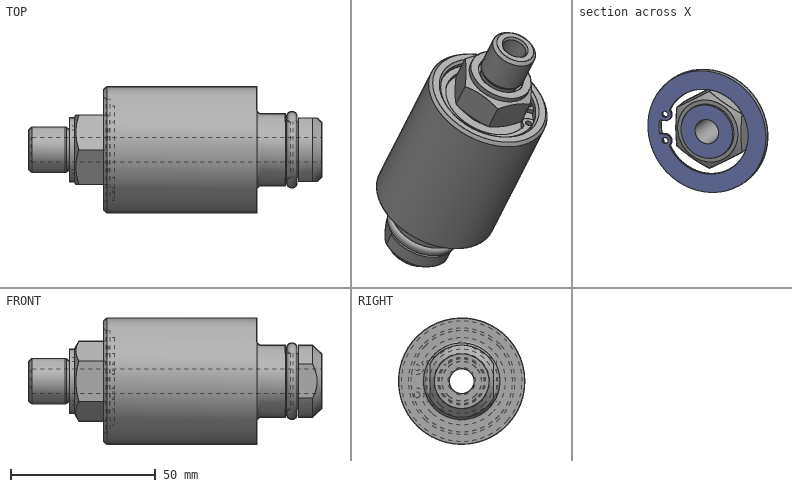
import cadquery as cq
import math


THREAD_DIA = 15.8
THREAD_TIP_CHAMFER = 1.1
THREAD_END = 12.6
RUNOUT_EDGE = 13.2
RUNOUT_EDGE_DIA = 15.4
NECK_DIA = 13.8

COLLAR_START = 14.1
COLLAR_DIA = 22.2
COLLAR_BORE_DIA = 16.5

HEX_START = 15.8
HEX_END = 28.0
HEX_ACROSS_FLATS = 24.0
HEX_CHAMFER_ANGLE = 30.0
SHANK_DIA = 19.3

BODY_START = 25.9
BODY_END = 78.9
BODY_DIA = 43.7
BODY_CHAMFER_LENGTH = 1.2
BODY_CHAMFER_DEPTH = 1.0

RECESS_DIA = 35.1
RECESS_MOUTH_DIA = 36.8
RECESS_MOUTH_LENGTH = 0.9
RECESS_DEPTH = 3.9
RING_BORE_DIA = 30.2
RING_THICKNESS = 1.5
RING_GAP = 4.8
LUG_DIA = 4.7
LUG_HOLE_DIA = 2.0
LUG_CENTRE_RADIUS = 16.1

REAR_DIA = 24.9
ROOT_FILLET = 1.5
GROOVE_START = 88.7
GROOVE_END = 93.3
GROOVE_DIA = 19.3
ORING_DIA = 26.5
ORING_SECTION_DIA = 3.7
TAPER_START = 98.1
TIP_DIA = 18.9
TIP_ACROSS_FLATS = 22.0
LENGTH = 101.4

BORE_DIA = 8.5
BORE_CHAMFER_DEPTH = 0.5
BORE_CHAMFER_LENGTH = 0.9


def cylinder(start, end, dia):
    """Solid cylinder on the X axis between two stations."""
    return cq.Workplane("YZ", origin=(start, 0, 0)).circle(dia / 2).extrude(end - start)


def cone(start, end, start_dia, end_dia):
    """Solid truncated cone on the X axis between two stations."""
    profile = [(start, 0), (start, start_dia / 2), (end, end_dia / 2), (end, 0)]
    return cq.Workplane("XY").polyline(profile).close().revolve(360, (0, 0, 0), (1, 0, 0))


def front_spigot():
    """Chamfered thread cylinder, its run-out, the neck and the hollow collar."""
    tip_dia = THREAD_DIA - 2 * THREAD_TIP_CHAMFER
    thread = cone(0, THREAD_TIP_CHAMFER, tip_dia, THREAD_DIA)
    thread = thread.union(cylinder(THREAD_TIP_CHAMFER, THREAD_END, THREAD_DIA))
    thread = thread.union(cone(THREAD_END, RUNOUT_EDGE, THREAD_DIA, RUNOUT_EDGE_DIA))
    thread = thread.union(cone(RUNOUT_EDGE, COLLAR_START, RUNOUT_EDGE_DIA, NECK_DIA))
    neck = cylinder(COLLAR_START, HEX_START, NECK_DIA)
    collar = cylinder(COLLAR_START, HEX_START, COLLAR_DIA)
    collar = collar.cut(cylinder(COLLAR_START, HEX_START, COLLAR_BORE_DIA))
    return thread.union(neck).union(collar)


def hexagon():
    """Hexagon with corners up and down, both ends turned off conically, on a round shank."""
    corner_dia = HEX_ACROSS_FLATS / math.cos(math.pi / 6)
    prism = (
        cq.Workplane("YZ", origin=(HEX_START, 0, 0))
        .transformed(rotate=(0, 0, 90))
        .polygon(6, corner_dia)
        .extrude(HEX_END - HEX_START)
    )
    run = (corner_dia - COLLAR_DIA) / 2 * math.tan(math.radians(HEX_CHAMFER_ANGLE))
    envelope = cone(HEX_START, HEX_START + run, COLLAR_DIA, corner_dia)
    envelope = envelope.union(cylinder(HEX_START + run, HEX_END - run, corner_dia))
    envelope = envelope.union(cone(HEX_END - run, HEX_END, corner_dia, COLLAR_DIA))
    shank = cylinder(HEX_END, BODY_START + RECESS_DEPTH, SHANK_DIA)
    return prism.intersect(envelope).union(shank)


def body():
    """Main cylinder with a chamfered front edge and a recess in its front face."""
    face_dia = BODY_DIA - 2 * BODY_CHAMFER_DEPTH
    chamfer_end = BODY_START + BODY_CHAMFER_LENGTH
    mouth_end = BODY_START + RECESS_MOUTH_LENGTH
    shell = cone(BODY_START, chamfer_end, face_dia, BODY_DIA)
    shell = shell.union(cylinder(chamfer_end, BODY_END, BODY_DIA))
    shell = shell.cut(cylinder(BODY_START, BODY_START + RECESS_DEPTH, RECESS_DIA))
    return shell.cut(cone(BODY_START, mouth_end, RECESS_MOUTH_DIA, RECESS_DIA))


def retaining_ring():
    """Open ring on the recess floor, with a drilled lug on each side of its gap at -Y."""
    start = BODY_START + RECESS_DEPTH - RING_THICKNESS
    end = start + RING_THICKNESS
    disc = cylinder(start, end, RECESS_DIA)
    ring = disc.cut(cylinder(start, end, RING_BORE_DIA))

    lug_z = (RING_GAP + LUG_DIA) / 2
    lug_y = -math.sqrt(LUG_CENTRE_RADIUS**2 - lug_z**2)
    lug_centres = [(lug_y, lug_z), (lug_y, -lug_z)]
    plane = cq.Workplane("YZ", origin=(start, 0, 0))
    lugs = plane.pushPoints(lug_centres).circle(LUG_DIA / 2).extrude(RING_THICKNESS)
    root_length = RECESS_DIA / 2 + lug_y
    root_centres = [(lug_y - root_length / 2, z) for _, z in lug_centres]
    roots = plane.pushPoints(root_centres).rect(root_length, LUG_DIA).extrude(RING_THICKNESS)
    gap = (
        cq.Workplane("YZ", origin=(start, -RECESS_DIA / 2, 0))
        .rect(RECESS_DIA / 2, RING_GAP)
        .extrude(RING_THICKNESS)
    )
    holes = plane.pushPoints(lug_centres).circle(LUG_HOLE_DIA / 2).extrude(RING_THICKNESS)
    return ring.union(lugs.union(roots).intersect(disc)).cut(gap).cut(holes)


def rear_spigot():
    """Rear cylinder with a root fillet, O-ring groove and O-ring, flats and a tapered tip."""
    rear_radius = REAR_DIA / 2
    oring_centre_radius = (ORING_DIA - ORING_SECTION_DIA) / 2
    arc_reach = ROOT_FILLET * (1 - math.sqrt(0.5))
    fillet = (
        cq.Workplane("XY")
        .moveTo(BODY_END, 0)
        .lineTo(BODY_END, rear_radius + ROOT_FILLET)
        .threePointArc(
            (BODY_END + arc_reach, rear_radius + arc_reach),
            (BODY_END + ROOT_FILLET, rear_radius),
        )
        .lineTo(BODY_END + ROOT_FILLET, 0)
        .close()
        .revolve(360, (0, 0, 0), (1, 0, 0))
    )
    shank = cylinder(BODY_END, GROOVE_START, REAR_DIA).union(fillet)
    groove_floor = cylinder(GROOVE_START, GROOVE_END, GROOVE_DIA)
    oring = (
        cq.Workplane("XY")
        .center((GROOVE_START + GROOVE_END) / 2, oring_centre_radius)
        .circle(ORING_SECTION_DIA / 2)
        .revolve(360, (0, -oring_centre_radius, 0), (1, -oring_centre_radius, 0))
    )
    tip = cylinder(GROOVE_END, TAPER_START, REAR_DIA)
    tip = tip.union(cone(TAPER_START, LENGTH, REAR_DIA, TIP_DIA))
    flats = (
        cq.Workplane("YZ", origin=(GROOVE_END, 0, 0))
        .rect(TIP_ACROSS_FLATS, REAR_DIA)
        .extrude(LENGTH - GROOVE_END)
    )
    return shank.union(groove_floor).union(oring).union(tip.intersect(flats))


bore = cylinder(0, LENGTH, BORE_DIA).union(
    cone(0, BORE_CHAMFER_LENGTH, BORE_DIA + 2 * BORE_CHAMFER_DEPTH, BORE_DIA)
)

result = (
    body()
    .union(hexagon())
    .union(front_spigot())
    .union(retaining_ring())
    .union(rear_spigot())
    .cut(bore)
)